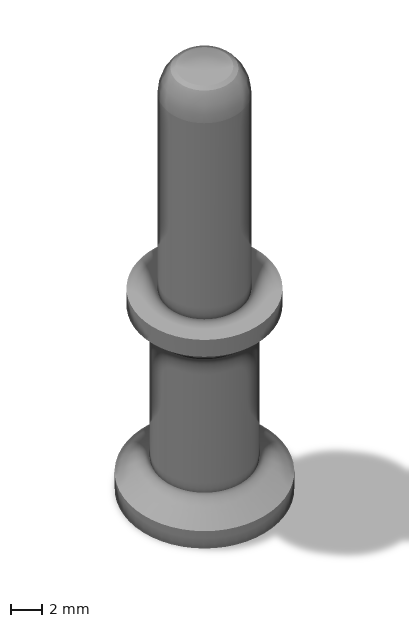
import cadquery as cq

foot_rim_top = 1.5
foot_cone_top = 2.8
collar_cone_bottom = 14.23
collar_rim_bottom = 15.75
collar_top = 17.2
nose_start = 34.0
total_height = 36.2

foot_radius = 11.5 / 2
shank_radius = 7.02 / 2
collar_radius = 10.0 / 2
pin_radius = 6.0 / 2
nose_end_radius = 2.17
tip_flat_radius = 1.85
tip_edge_height = 0.15

nose_end = total_height - tip_edge_height
nose_rise = nose_end - nose_start
nose_inset = pin_radius - nose_end_radius
nose_arc_radius = (nose_rise**2 + nose_inset**2) / (2 * nose_inset)

profile = (
    cq.Workplane("XZ")
    .lineTo(foot_radius, 0)
    .lineTo(foot_radius, foot_rim_top)
    .lineTo(shank_radius, foot_cone_top)
    .lineTo(shank_radius, collar_cone_bottom)
    .lineTo(collar_radius, collar_rim_bottom)
    .lineTo(collar_radius, collar_top)
    .lineTo(pin_radius, collar_top)
    .lineTo(pin_radius, nose_start)
    .radiusArc((nose_end_radius, nose_end), -nose_arc_radius)
    .lineTo(tip_flat_radius, total_height)
    .lineTo(0, total_height)
    .close()
)
result = profile.revolve(360, (0, 0, 0), (0, 1, 0))